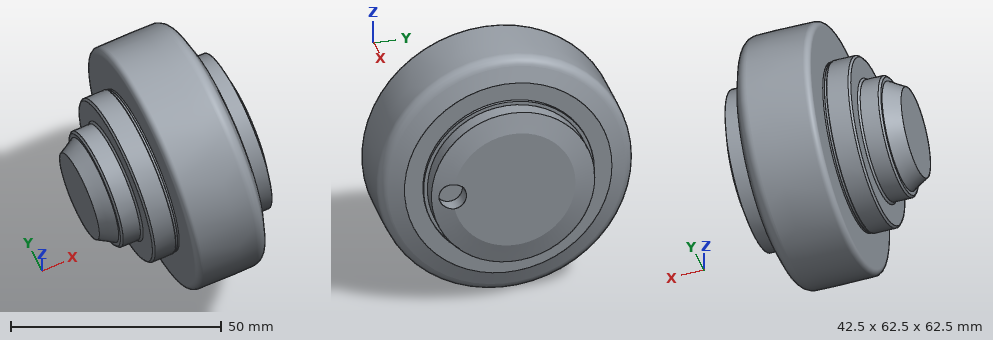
import cadquery as cq
import math


STUD_TIP_LENGTH = 4.0
STUD_TIP_RADIUS = 13.5
STUD_TIP_ANGLE = 30.0
STUD_RADIUS = 14.95
STUD_END = 9.0
STUD_CHAMFER = 0.5
ROOT_FLARE = 0.5

FLANGE_RADIUS = 21.1
FLANGE_END = 15.4
FLANGE_CHAMFER = 0.5

RING_RADIUS = 20.9
RING_START = 16.0
RING_END = 37.2
NECK_RADIUS = 20.75

ROLLER_START = 16.4
ROLLER_WIDTH = 20.0
ROLLER_RADIUS = 31.25
CROWN_DROP = 0.1
STUD_SIDE_ROUND = 1.5
OUTER_ROUND = 3.0
OUTER_TAPER_ANGLE = 70.0
OUTER_FACE_RADIUS = 25.4

CAP_RADIUS = 20.0
CAP_FACE_RADIUS = 15.0
CAP_TAPER_ANGLE = 15.0
TOTAL_LENGTH = 42.5

HOLE_RADIUS = 3.25
HOLE_OFFSET = 15.0
HOLE_DEPTH = 4.0


def turn(profile):
    """Close a half profile along the X axis and revolve it a full turn."""
    return profile.close().revolve(360, (0, 0, 0), (1, 0, 0))


def make_stud_and_flange():
    """Conical tip, chamfered stud, flared root and flange, up to the inner ring."""
    tip_face_radius = STUD_TIP_RADIUS - STUD_TIP_LENGTH * math.tan(math.radians(STUD_TIP_ANGLE))
    flange_start = STUD_END + ROOT_FLARE
    return turn(
        cq.Workplane("XY")
        .lineTo(0, tip_face_radius)
        .lineTo(STUD_TIP_LENGTH, STUD_TIP_RADIUS)
        .lineTo(STUD_TIP_LENGTH, STUD_RADIUS - STUD_CHAMFER)
        .lineTo(STUD_TIP_LENGTH + STUD_CHAMFER, STUD_RADIUS)
        .lineTo(STUD_END, STUD_RADIUS)
        .lineTo(flange_start, STUD_RADIUS + ROOT_FLARE)
        .lineTo(flange_start, FLANGE_RADIUS - FLANGE_CHAMFER)
        .lineTo(flange_start + FLANGE_CHAMFER, FLANGE_RADIUS)
        .lineTo(FLANGE_END, FLANGE_RADIUS)
        .lineTo(FLANGE_END, NECK_RADIUS)
        .lineTo(RING_START, NECK_RADIUS)
        .lineTo(RING_START, 0)
    )


def make_ring():
    """Inner ring passing through the roller."""
    return turn(
        cq.Workplane("XY")
        .moveTo(RING_START, 0)
        .lineTo(RING_START, RING_RADIUS)
        .lineTo(RING_END, RING_RADIUS)
        .lineTo(RING_END, 0)
    )


def make_roller():
    """Crowned roller, rounded on the stud side and rounded into a taper on the outer side."""
    roller_end = ROLLER_START + ROLLER_WIDTH
    edge_radius = ROLLER_RADIUS - CROWN_DROP
    taper = math.radians(OUTER_TAPER_ANGLE)

    round_centre_radius = edge_radius - OUTER_ROUND
    taper_start_radius = round_centre_radius + OUTER_ROUND * math.cos(taper)
    taper_start = roller_end - (taper_start_radius - OUTER_FACE_RADIUS) / math.tan(taper)
    tread_end = taper_start - OUTER_ROUND * math.sin(taper)
    tread_start = ROLLER_START + STUD_SIDE_ROUND
    outer_round_middle = (
        tread_end + OUTER_ROUND * math.sin(taper / 2),
        round_centre_radius + OUTER_ROUND * math.cos(taper / 2),
    )
    diagonal_inset = STUD_SIDE_ROUND * (1 - math.sqrt(0.5))

    return turn(
        cq.Workplane("XY")
        .moveTo(ROLLER_START, 0)
        .lineTo(ROLLER_START, edge_radius - STUD_SIDE_ROUND)
        .threePointArc(
            (ROLLER_START + diagonal_inset, edge_radius - diagonal_inset),
            (tread_start, edge_radius),
        )
        .threePointArc(((tread_start + tread_end) / 2, ROLLER_RADIUS), (tread_end, edge_radius))
        .threePointArc(outer_round_middle, (taper_start, taper_start_radius))
        .lineTo(roller_end, OUTER_FACE_RADIUS)
        .lineTo(roller_end, 0)
    )


def make_cap():
    """End cap with a shallow conical taper around its flat face."""
    taper_length = (CAP_RADIUS - CAP_FACE_RADIUS) * math.tan(math.radians(CAP_TAPER_ANGLE))
    return turn(
        cq.Workplane("XY")
        .moveTo(RING_END, 0)
        .lineTo(RING_END, CAP_RADIUS)
        .lineTo(TOTAL_LENGTH - taper_length, CAP_RADIUS)
        .lineTo(TOTAL_LENGTH, CAP_FACE_RADIUS)
        .lineTo(TOTAL_LENGTH, 0)
    )


def make_hole():
    """Cutter for the blind hole, offset from the axis towards -Y."""
    return (
        cq.Workplane("YZ", origin=(TOTAL_LENGTH - HOLE_DEPTH, 0, 0))
        .center(-HOLE_OFFSET, 0)
        .circle(HOLE_RADIUS)
        .extrude(HOLE_DEPTH)
    )


result = make_stud_and_flange().union(make_ring()).union(make_roller()).union(make_cap()).cut(make_hole())